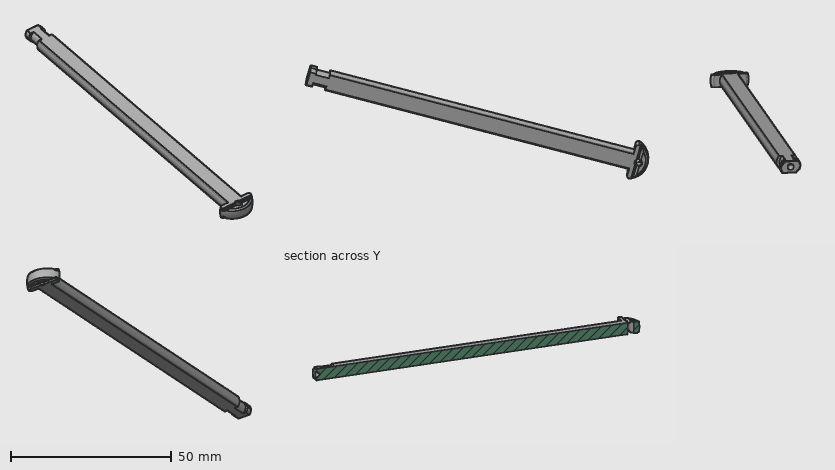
import cadquery as cq
import math

length = 110.0
thickness = 4.0
half_thickness = thickness / 2

shank_radius = 6.5 / 2
shank_bevel_height = 0.3

tip_length = 2.1
neck_end = 6.4
neck_radius = 2.4
bevel_top_y = 1.8
bevel_knee_y = 2.9
bevel_knee_z = 0.9
bevel_side_z = -0.2
end_chamfer = 0.2
center_hole_diameter = 2.0
center_hole_depth = 1.3

head_start = 104.7
head_radius = 12.2 / 2
rim_fillet = 0.9
head_rim_x = head_start + rim_fillet
dome_bevel_depth = 0.5
dome_bevel_width = 0.9

groove_start = 106.2
groove_depth = 0.8
groove_floor_width = 0.5
pin_hole_x = 106.9
pin_hole_diameter = 2.0
pin_hole_chamfer = 0.2


def slab(start, end):
    """Wide plate between two X positions, centred on the mid-plane."""
    wide = 4 * head_radius
    return cq.Workplane("XY").box(end - start, wide, thickness).translate(((start + end) / 2, 0, 0))


def bar(radius, start, end):
    """Round bar along X with flats at the top and bottom."""
    cylinder = cq.Workplane("YZ", origin=(start, 0, 0)).circle(radius).extrude(end - start)
    return cylinder.intersect(slab(start, end))


def make_shank():
    """Bevelled flat bar, running a little way into the head."""
    bevel_z = half_thickness - shank_bevel_height
    bevel_y = math.sqrt(shank_radius**2 - bevel_z**2)
    flat_y = bevel_y - shank_bevel_height
    shank_end = head_start + rim_fillet / 2
    return (
        cq.Workplane("YZ", origin=(neck_end, 0, 0))
        .moveTo(flat_y, half_thickness)
        .lineTo(bevel_y, bevel_z)
        .threePointArc((shank_radius, 0), (bevel_y, -bevel_z))
        .lineTo(flat_y, -half_thickness)
        .lineTo(-flat_y, -half_thickness)
        .lineTo(-bevel_y, -bevel_z)
        .threePointArc((-shank_radius, 0), (-bevel_y, bevel_z))
        .lineTo(-flat_y, half_thickness)
        .close()
        .extrude(shank_end - neck_end)
    )


def make_tip():
    """Tip with two opposite corners cut away and a chamfered end face."""
    tip = bar(shank_radius, 0, tip_length)
    corner = (
        cq.Workplane("YZ")
        .moveTo(bevel_top_y, half_thickness)
        .lineTo(bevel_knee_y, bevel_knee_z)
        .lineTo(shank_radius, bevel_side_z)
        .lineTo(2 * shank_radius, bevel_side_z)
        .lineTo(2 * shank_radius, half_thickness)
        .close()
        .extrude(tip_length)
    )
    for angle in (0, 180):
        tip = tip.cut(corner.rotate((0, 0, 0), (1, 0, 0), angle))
    return tip.faces("<X").chamfer(end_chamfer)


def make_head():
    """Flat-sided slice of the mushroom, with its dome bevelled at both flats."""
    rim_height = length - head_rim_x
    dome_radius = (head_radius**2 + rim_height**2) / (2 * rim_height)
    dome_center = length - dome_radius
    half_angle = math.asin(head_radius / dome_radius) / 2
    dome_middle = (
        dome_center + dome_radius * math.cos(half_angle),
        dome_radius * math.sin(half_angle),
    )
    fillet_inset = rim_fillet * (1 - math.sqrt(0.5))
    mushroom = (
        cq.Workplane("XY")
        .moveTo(head_start, 0)
        .lineTo(head_start, head_radius - rim_fillet)
        .threePointArc(
            (head_start + fillet_inset, head_radius - fillet_inset),
            (head_rim_x, head_radius),
        )
        .threePointArc(dome_middle, (length, 0))
        .close()
        .revolve(360, (0, 0, 0), (1, 0, 0))
    )
    bevel_start_z = half_thickness - dome_bevel_depth
    bevel_envelope = (
        cq.Workplane("XZ")
        .polyline(
            [
                (0, half_thickness),
                (dome_radius - dome_bevel_width, half_thickness),
                (dome_radius, bevel_start_z),
                (dome_radius, -bevel_start_z),
                (dome_radius - dome_bevel_width, -half_thickness),
                (0, -half_thickness),
            ]
        )
        .close()
        .revolve(360, (0, 0, 0), (0, 1, 0))
        .translate((dome_center, 0, 0))
    )
    rear = mushroom.intersect(slab(head_start, groove_start))
    front = mushroom.intersect(bevel_envelope).intersect(slab(groove_start, length))
    return rear.union(front)


def make_groove():
    """Groove along Y in the top flat: square rear wall, flat floor and 45 degree front wall."""
    floor_z = half_thickness - groove_depth
    floor_end = groove_start + groove_floor_width
    return (
        cq.Workplane("XZ")
        .moveTo(groove_start, half_thickness)
        .lineTo(groove_start, floor_z)
        .lineTo(floor_end, floor_z)
        .lineTo(floor_end + groove_depth, half_thickness)
        .close()
        .extrude(2 * head_radius, both=True)
    )


def make_center_hole():
    """Conical recess in the end face of the tip."""
    return (
        cq.Workplane("XY")
        .polyline([(0, 0), (0, center_hole_diameter / 2), (center_hole_depth, 0)])
        .close()
        .revolve(360, (0, 0, 0), (1, 0, 0))
    )


def make_pin_hole():
    """Through hole along Z with a chamfered rim at each flat."""
    radius = pin_hole_diameter / 2
    rim_radius = radius + pin_hole_chamfer
    chamfer_z = half_thickness - pin_hole_chamfer
    return (
        cq.Workplane("XZ")
        .polyline(
            [
                (0, half_thickness),
                (rim_radius, half_thickness),
                (radius, chamfer_z),
                (radius, -chamfer_z),
                (rim_radius, -half_thickness),
                (0, -half_thickness),
            ]
        )
        .close()
        .revolve(360, (0, 0, 0), (0, 1, 0))
        .translate((pin_hole_x, 0, 0))
    )


head = make_head()
groove = make_groove()
for angle in (0, 180):
    head = head.cut(groove.rotate((0, 0, 0), (1, 0, 0), angle))

neck = bar(neck_radius, tip_length, neck_end)
spindle = make_tip().union(neck).union(make_shank()).union(head)
result = spindle.cut(make_center_hole()).cut(make_pin_hole())